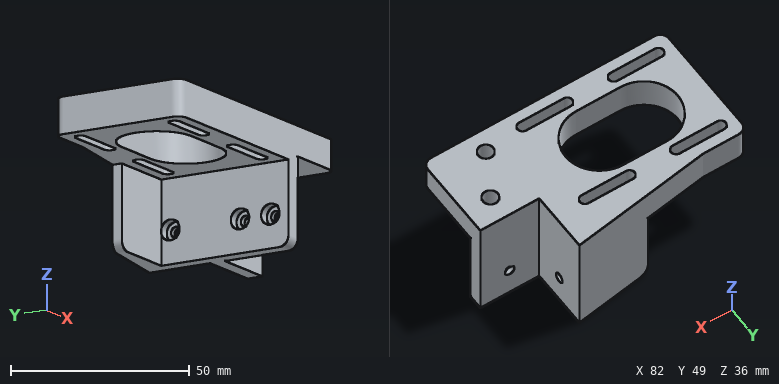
import cadquery as cq

LENGTH = 82.0
WIDTH = 49.0
HEIGHT = 36.0
CORNER_RADIUS = 3.0

MAIN_WIDTH = 42.0
SLANT_START_X = 15.0
STEP_X = 62.0
STEP_WIDTH = 29.0
PLATE_THICKNESS = 11.0
STEP_THICKNESS = 9.0

WALL_THICKNESS = 5.0
REAR_WALL_START_X = 36.0

OPENING_LENGTH = 38.05
OPENING_WIDTH = 23.0
OPENING_X = 28.45
OPENING_Y = MAIN_WIDTH / 2
SLOT_LENGTH = 18.5
SLOT_WIDTH = 3.4
SLOT_PITCH_X = 31.0
SLOT_PITCH_Y = 31.0
FIRST_SLOT_X = 12.95
PLATE_HOLE_DIAMETER = 5.0
PLATE_HOLE_CENTRES = [(73.1, OPENING_Y), (65.0, 7.0)]

SCREW_DIAMETER = 3.2
HEAD_DIAMETER = 6.1
HEAD_DEPTH = 3.0
SCREW_Z = 10.0
SIDE_SCREW_YS = [6.0, 16.0, 39.0]

plate_bottom = HEIGHT - PLATE_THICKNESS
step_bottom = HEIGHT - STEP_THICKNESS
wall_left_x = STEP_X - WALL_THICKNESS


def block(x0, x1, y0, y1, z0, z1):
    """Box between two opposite corners."""
    return cq.Workplane("XY").box(x1 - x0, y1 - y0, z1 - z0, centered=False).translate((x0, y0, z0))


def outline_prism():
    """Plan outline extruded over the full height, with rounded left and front corners."""
    points = [
        (0, 0),
        (LENGTH, 0),
        (LENGTH, STEP_WIDTH),
        (STEP_X, STEP_WIDTH),
        (STEP_X, WIDTH),
        (SLANT_START_X, MAIN_WIDTH),
        (0, MAIN_WIDTH),
    ]
    prism = cq.Workplane("XY").polyline(points).close().extrude(HEIGHT)
    return prism.edges("|Z and (<X or <Y)").fillet(CORNER_RADIUS)


def plate():
    """Top plate, thinner to the right of the step plane."""
    main = block(0, STEP_X, 0, WIDTH, plate_bottom, HEIGHT)
    step = block(STEP_X, LENGTH, 0, STEP_WIDTH, step_bottom, HEIGHT)
    return outline_prism().intersect(main.union(step))


def side_wall():
    """Wall along Y under the step plane, rounded at its front lower corner."""
    wall = block(wall_left_x, STEP_X, 0, MAIN_WIDTH, 0, plate_bottom)
    return wall.edges("|X and <Y and <Z").fillet(CORNER_RADIUS)


def rear_wall():
    """Wall along X that follows the slanted rear edge, rounded at its left lower corner."""
    wall = block(REAR_WALL_START_X, STEP_X, MAIN_WIDTH, WIDTH, 0, plate_bottom)
    wall = wall.edges("|Y and <X and <Z").fillet(CORNER_RADIUS)
    return wall.intersect(outline_prism())


def step_wall():
    """Wall along X under the rear edge of the narrow part of the plate."""
    return block(STEP_X, LENGTH, STEP_WIDTH - WALL_THICKNESS, STEP_WIDTH, 0, step_bottom)


def plate_cutters():
    """Central opening, four slots and two round holes, to be cut from the plate alone."""
    plane = cq.Workplane("XY")
    cutters = plane.center(OPENING_X, OPENING_Y).slot2D(OPENING_LENGTH, OPENING_WIDTH).extrude(HEIGHT)
    slot_centres = [
        (FIRST_SLOT_X + column * SLOT_PITCH_X, OPENING_Y + side * SLOT_PITCH_Y / 2)
        for column in (0, 1)
        for side in (-1, 1)
    ]
    slots = plane.pushPoints(slot_centres).slot2D(SLOT_LENGTH, SLOT_WIDTH).extrude(HEIGHT)
    holes = plane.pushPoints(PLATE_HOLE_CENTRES).circle(PLATE_HOLE_DIAMETER / 2).extrude(HEIGHT)
    return cutters.union(slots).union(holes)


def screw_cutter(position, direction):
    """Screw hole through a wall with its head recess at the given position."""
    start = cq.Vector(*position)
    axis = cq.Vector(*direction)
    shank = cq.Solid.makeCylinder(SCREW_DIAMETER / 2, WALL_THICKNESS, start, axis)
    head = cq.Solid.makeCylinder(HEAD_DIAMETER / 2, HEAD_DEPTH, start, axis)
    return cq.Workplane(shank).union(cq.Workplane(head))


result = plate().cut(plate_cutters())
result = result.union(side_wall()).union(rear_wall()).union(step_wall())

for screw_y in SIDE_SCREW_YS:
    result = result.cut(screw_cutter((wall_left_x, screw_y, SCREW_Z), (1, 0, 0)))

step_screw_x = (STEP_X + LENGTH) / 2
step_screw_y = STEP_WIDTH - WALL_THICKNESS
result = result.cut(screw_cutter((step_screw_x, step_screw_y, SCREW_Z), (0, 1, 0)))